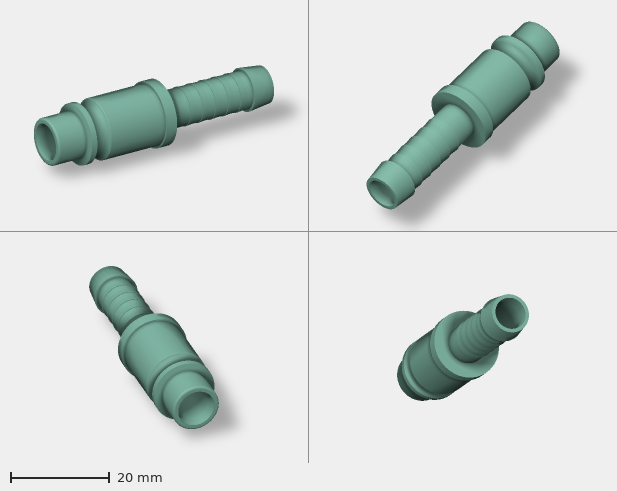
import cadquery as cq
import math

overall_length = 52.0

nose_radius = 5.0
nose_edge_fillet = 0.5

body_radius = 6.5
collar_start = 7.0
collar_face_angle = 15.0
groove_center = 10.0
groove_arc_radius = 1.65
groove_floor_radius = 5.35
collar_groove_chamfer = 0.3
body_groove_chamfer = 0.15

flange_radius = 7.0
flange_start = 24.5
flange_thickness = 2.5

tail_radius = 4.0
tail_plain_length = 5.0
ridge_count = 5
ridge_length = 1.5
ridge_pitch = 3.0
ridge_peak_radius = 4.15
barb_peak_radius = 4.6
barb_length = 5.0

through_bore_radius = 3.25
nose_bore_radius = 3.9
nose_bore_depth = flange_start

collar_face_length = (body_radius - nose_radius) * math.tan(math.radians(collar_face_angle))
flange_end = flange_start + flange_thickness
first_ridge_start = flange_end + tail_plain_length
barb_start = overall_length - barb_length


def groove_half_width(radius):
    """Half of the locking groove's width along Y at a given radius."""
    arc_center_radius = groove_floor_radius + groove_arc_radius
    return math.sqrt(groove_arc_radius**2 - (arc_center_radius - radius) ** 2)


def revolve_about_y(profile):
    """Full turn of a closed (radius, Y) profile about the Y axis."""
    return profile.close().revolve(360, (0, 0, 0), (0, 1, 0))


def add_nose(profile):
    """Nose with a rounded end edge, up to the cone of the collar face."""
    profile = profile.lineTo(nose_radius - nose_edge_fillet, 0)
    profile = profile.tangentArcPoint((nose_radius, nose_edge_fillet), relative=False)
    return profile.lineTo(nose_radius, collar_start - collar_face_length)


def add_collar_and_groove(profile):
    """Collar and the round locking groove with its two bevelled rims."""
    collar_rim_radius = body_radius - collar_groove_chamfer
    collar_rim = groove_center - groove_half_width(collar_rim_radius)
    body_rim_radius = body_radius - body_groove_chamfer
    body_rim = groove_center + groove_half_width(body_rim_radius)

    profile = profile.lineTo(body_radius, collar_start)
    profile = profile.lineTo(body_radius, collar_rim - collar_groove_chamfer)
    profile = profile.lineTo(collar_rim_radius, collar_rim)
    profile = profile.threePointArc((groove_floor_radius, groove_center), (body_rim_radius, body_rim))
    return profile.lineTo(body_radius, body_rim + body_groove_chamfer)


def add_body_and_flange(profile):
    """Plain body cylinder and the flange behind it."""
    profile = profile.lineTo(body_radius, flange_start)
    profile = profile.lineTo(flange_radius, flange_start)
    profile = profile.lineTo(flange_radius, flange_end)
    return profile.lineTo(tail_radius, flange_end)


def add_hose_tail(profile):
    """Tail with shallow saw-tooth ridges, ending in a conical barb."""
    for index in range(ridge_count):
        ridge_start = first_ridge_start + index * ridge_pitch
        profile = profile.lineTo(tail_radius, ridge_start)
        profile = profile.lineTo(ridge_peak_radius, ridge_start)
        profile = profile.lineTo(tail_radius, ridge_start + ridge_length)
    profile = profile.lineTo(tail_radius, barb_start)
    profile = profile.lineTo(barb_peak_radius, barb_start)
    return profile.lineTo(tail_radius, overall_length)


def make_outer_body():
    profile = cq.Workplane("XY").moveTo(0, 0)
    profile = add_nose(profile)
    profile = add_collar_and_groove(profile)
    profile = add_body_and_flange(profile)
    profile = add_hose_tail(profile)
    profile = profile.lineTo(0, overall_length)
    return revolve_about_y(profile)


def make_bore():
    """Wide bore from the nose, stepping down to the bore of the hose tail."""
    profile = cq.Workplane("XY").moveTo(0, 0)
    profile = profile.lineTo(nose_bore_radius, 0)
    profile = profile.lineTo(nose_bore_radius, nose_bore_depth)
    profile = profile.lineTo(through_bore_radius, nose_bore_depth)
    profile = profile.lineTo(through_bore_radius, overall_length)
    profile = profile.lineTo(0, overall_length)
    return revolve_about_y(profile)


result = make_outer_body().cut(make_bore())